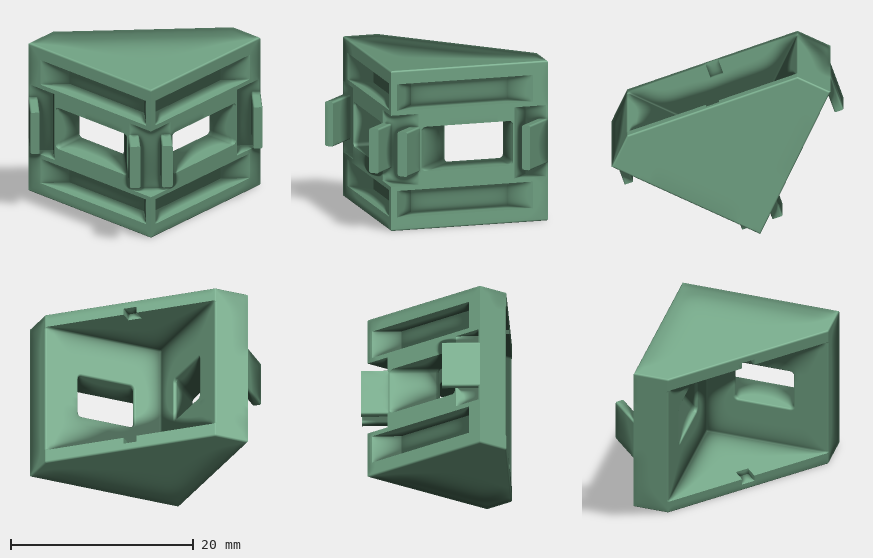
import cadquery as cq
import math


overall_width = 20.95
leg_length = 18.0
height = leg_length
leg_thickness = 4.0
slope_end = 3.98
cheek_thickness = 1.5
edge_radius = 0.2
cavity_height = height - 2 * cheek_thickness

notch_width = 1.5
notch_depth = notch_width
notch_height = 0.71

pocket_height = 3.0
pocket_depth = 2.28
pocket_near = 0.71
pocket_far = 16.25
pocket_offset = height / 2 - cheek_thickness - pocket_height / 2

hole_height = 5.0
hole_near = 7.25
hole_far = 14.0
slope_start = 3.5
slope_depth = 3.65
hole_corner_radius = 0.45

recess_height = 8.0
corner_floor = 3.3
corner_half_width = 3.18
groove_near = 14.16
groove_far = 17.77

clip_height = hole_height
end_clip_thickness = 1.0
end_clip_overhang = overall_width - leg_length
corner_clip_offset = 3.33
corner_clip_thickness = 1.17
corner_clip_overhang = 2.12
clip_embed = 0.3

clearance = 1.05


def prism(points, prism_height, center_z=0):
    """Upright prism with the given XY outline, centred on center_z."""
    base = cq.Workplane("XY").workplane(offset=center_z - prism_height / 2)
    return base.polyline(points).close().extrude(prism_height)


def across_diagonal(shape):
    """Mirror image of a shape in the plane x + y = 0."""
    return shape.mirror(cq.Vector(1, 1, 0))


def diagonal_point(across, along):
    """XY point with x + y = across and x - y = along."""
    return ((across + along) / 2, (across - along) / 2)


def make_body():
    outline = [
        (0, 0),
        (-leg_length, 0),
        (-leg_length, slope_end),
        (-slope_end, leg_length),
        (0, leg_length),
    ]
    slope_ends = cq.selectors.BoxSelector(
        (-leg_length - clearance, leg_thickness - clearance, -height),
        (-leg_thickness + clearance, leg_length + clearance, height),
    )
    body = prism(outline, height)
    body = body.edges(slope_ends).edges("|Z").fillet(edge_radius)
    return body.faces("<Z or >Z").edges().fillet(edge_radius)


def make_cavity():
    """Space between the cheeks; its outline rounds the inner corner and the leg ends."""
    bend = edge_radius * (1 - math.sqrt(0.5))
    end = -leg_length
    inner = leg_thickness
    beyond = leg_length + clearance
    return (
        cq.Workplane("XY")
        .workplane(offset=-cavity_height / 2)
        .moveTo(end, inner - clearance)
        .lineTo(end, inner - edge_radius)
        .threePointArc((end + bend, inner - bend), (end + edge_radius, inner))
        .lineTo(-inner - edge_radius, inner)
        .threePointArc((-inner - bend, inner + bend), (-inner, inner + edge_radius))
        .lineTo(-inner, -end - edge_radius)
        .threePointArc((-inner + bend, -end - bend), (-inner + edge_radius, -end))
        .lineTo(-inner + clearance, -end)
        .lineTo(-inner + clearance, beyond)
        .lineTo(-beyond, beyond)
        .lineTo(-beyond, inner - clearance)
        .close()
        .extrude(cavity_height)
        .faces("<Z or >Z")
        .edges()
        .fillet(edge_radius)
    )


def make_notches():
    """Square notches half way along the sloped edges, as one prism crossing the cavity."""
    half = notch_width / math.sqrt(2)
    slope = -leg_length - slope_end
    floor = slope + notch_depth * math.sqrt(2)
    outline = [
        diagonal_point(-half, slope - clearance),
        diagonal_point(half, slope - clearance),
        diagonal_point(half, floor),
        diagonal_point(-half, floor),
    ]
    return prism(outline, cavity_height + 2 * notch_height)


def make_pocket(center_z):
    outline = [
        (-pocket_far, 0),
        (-pocket_far + pocket_depth, pocket_depth),
        (-pocket_near - pocket_depth, pocket_depth),
        (-pocket_near, 0),
    ]
    return prism(outline, pocket_height, center_z)


def rounded_hole(points):
    """Hole through a leg with rounded corners along its length."""
    hole = prism(points, hole_height)
    return hole.faces("<Z or >Z").edges("not (<Y or >Y)").fillet(hole_corner_radius)


def make_straight_hole():
    end = leg_thickness + clearance / 2
    return rounded_hole([
        (-hole_far, -clearance),
        (-hole_near, -clearance),
        (-hole_near, end),
        (-hole_far, end),
    ])


def make_sloped_hole():
    """Widening of the hole towards the corner, with a wall along the clip direction."""
    return rounded_hole([
        (-hole_far, -clearance),
        (-slope_start + clearance, -clearance),
        (-slope_start - slope_depth, slope_depth),
        (-hole_far, slope_depth),
    ])


def make_groove():
    """Right-angled V groove that gives the end clip room to flex."""
    depth = (groove_far - groove_near) / 2
    outline = [
        (-groove_far, 0),
        (-groove_far + depth, depth),
        (-groove_near, 0),
    ]
    return prism(outline, recess_height)


def make_corner_recess():
    """Square-sided channel across the corner of the legs, with a 45 degree floor."""
    outline = [
        diagonal_point(-corner_half_width, -corner_floor),
        diagonal_point(corner_half_width, -corner_floor),
        diagonal_point(corner_half_width, clearance),
        diagonal_point(-corner_half_width, clearance),
    ]
    return prism(outline, recess_height)


def make_clip(outer, thickness, overhang, root):
    """Diagonal clip of the -Y leg: outer side on x + y = -outer, root on x - y = -root."""
    inner = outer - thickness * math.sqrt(2)
    tip = 2 * overhang - outer
    outline = [
        diagonal_point(-outer, -root),
        diagonal_point(-outer, tip),
        diagonal_point(-inner, tip),
        diagonal_point(-inner, -root),
    ]
    clip = prism(outline, clip_height)
    return clip.faces("<Z or >Z").edges("|(1,-1,0)").fillet(edge_radius)


result = make_body().cut(make_cavity()).cut(make_notches()).cut(make_corner_recess())

leg_cuts = [
    make_pocket(pocket_offset),
    make_pocket(-pocket_offset),
    make_straight_hole(),
    make_sloped_hole(),
    make_groove(),
]
for leg_cut in leg_cuts:
    result = result.cut(leg_cut).cut(across_diagonal(leg_cut))

rim_half_height = hole_height / 2 + edge_radius
rim_near = hole_near - edge_radius
rim_far = hole_far + edge_radius
rim_start = leg_thickness - edge_radius / 2
rim_end = leg_thickness + edge_radius / 2
rims = [
    cq.selectors.BoxSelector(
        (-rim_far, rim_start, -rim_half_height),
        (-rim_near, rim_end, rim_half_height),
    ),
    cq.selectors.BoxSelector(
        (-rim_end, rim_near, -rim_half_height),
        (-rim_start, rim_far, rim_half_height),
    ),
]
for rim in rims:
    result = result.edges(rim).fillet(edge_radius)

clips = [
    make_clip(leg_length, end_clip_thickness, end_clip_overhang, leg_length),
    make_clip(corner_clip_offset, corner_clip_thickness, corner_clip_overhang, corner_floor + clip_embed),
]
for clip in clips:
    result = result.union(clip).union(across_diagonal(clip))